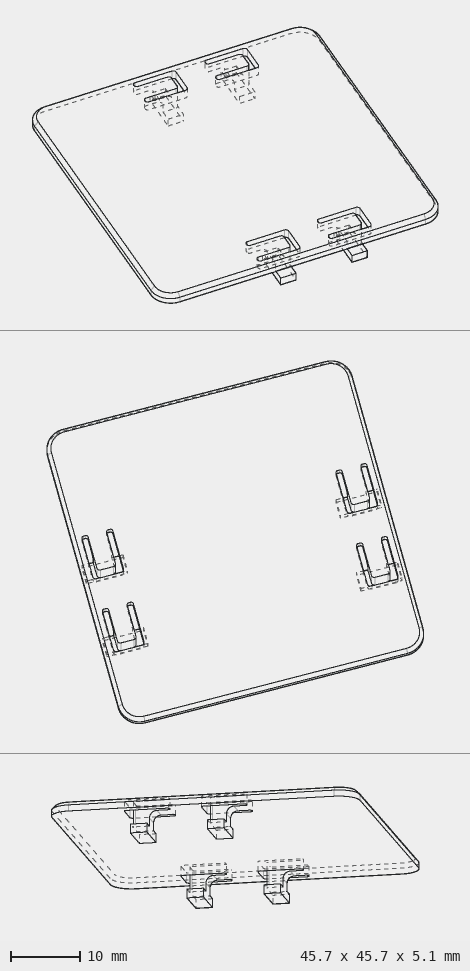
import cadquery as cq

plate_side = 45.7
plate_thickness = 1.5
plate_corner_radius = 3.15
plate_edge_chamfer = 0.6
total_height = 5.1

clip_offset_x = 19.05
clip_tip_y = 10.7
clip_pitch = 11.45
clip_width = 2.8
clip_depth = 2.45
clip_corner_radius = 0.4
clip_root_radius = 1.1
foot_width = 6.15
foot_height = 1.33

slot_width = 0.9
slot_tip_gap = 1.15
slot_length = 6.7
slot_corner_radius = 0.45
slot_end_radius = 0.3

plate_bottom_z = -plate_thickness
stem_height = total_height - plate_thickness - foot_height
foot_top_z = plate_bottom_z - stem_height

clip_positions = [
    (x, y)
    for x in (-clip_offset_x, clip_offset_x)
    for y in (clip_tip_y, clip_tip_y - clip_pitch)
]


def block(width, depth, height, top_z):
    """Box centred on X = 0, reaching from Y = 0 towards -Y and down from top_z."""
    body = cq.Workplane("XY").box(width, depth, height, centered=(True, False, False))
    return body.translate((0, -depth, top_z - height))


def make_plate():
    plate = block(plate_side, plate_side, plate_thickness, 0)
    plate = plate.translate((0, plate_side / 2, 0))
    plate = plate.edges("|Z").fillet(plate_corner_radius)
    return plate.faces(">Z").chamfer(plate_edge_chamfer)


def make_slot():
    """U-shaped cutter around a tongue whose tip is at Y = 0."""
    opening = block(clip_width + 2 * slot_width, slot_length, plate_thickness, 0)
    opening = opening.edges("|Z and >Y").fillet(slot_corner_radius)
    opening = opening.translate((0, slot_tip_gap, 0))

    tongue = block(clip_width, slot_length - slot_tip_gap, plate_thickness, 0)
    tongue = tongue.edges("|Z and >Y").fillet(clip_corner_radius)

    return opening.cut(tongue).edges("|Z and <Y").fillet(slot_end_radius)


def make_clip():
    """Clip with its tip at Y = 0: stem with a wide foot below the plate and a rounded root behind it."""
    stem = block(clip_width, clip_depth, stem_height, plate_bottom_z)
    stem = stem.edges("|Z and >Y").fillet(clip_corner_radius)
    foot = block(foot_width, clip_depth, foot_height, foot_top_z)

    root_block = block(clip_width, clip_root_radius, clip_root_radius, plate_bottom_z)
    hollow_axis_start = (-clip_width / 2, -clip_root_radius, plate_bottom_z - clip_root_radius)
    root_hollow = (
        cq.Workplane("YZ", origin=hollow_axis_start)
        .circle(clip_root_radius)
        .extrude(clip_width)
    )
    root = root_block.cut(root_hollow).translate((0, -clip_depth, 0))
    return stem.union(foot).union(root)


result = make_plate()
slot = make_slot()
clip = make_clip()
for x, y in clip_positions:
    result = result.cut(slot.translate((x, y, 0)))
    result = result.union(clip.translate((x, y, 0)))